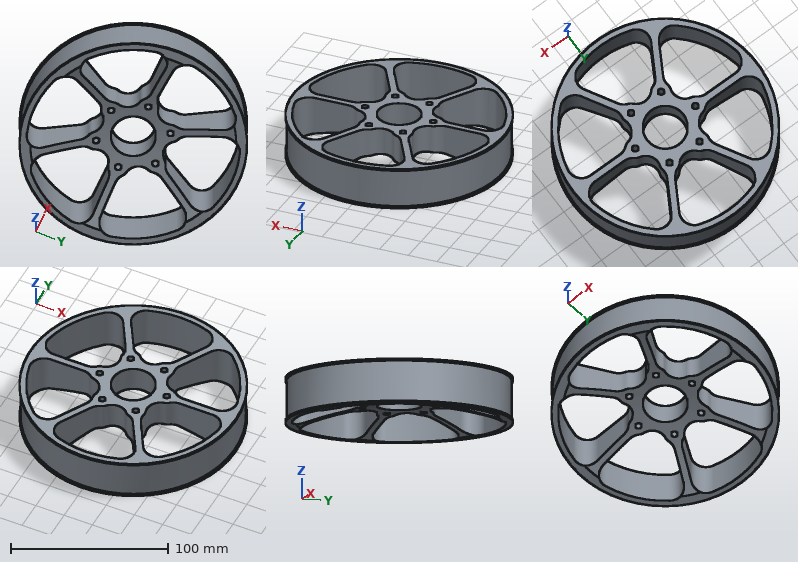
import cadquery as cq
import math

outer_diameter = 144.8
width = 28.5
flange_thickness = 1.3
flange_height = 0.8
rim_inner_radius = 68.0

dome_depth = 11.3
dome_radius = 195.5

bore_diameter = 28.5
bolt_circle_radius = 23.7
bolt_hole_diameter = 4.0
boss_radius = 6.4

spoke_count = 6
spoke_width = 5.0
fillet_radius = 9.5

spoke_pitch = 360.0 / spoke_count
half_pitch = math.radians(spoke_pitch / 2)


def point_toward(start, end, distance):
    """Point at the given distance from start, on the ray through end."""
    length = math.dist(start, end)
    return tuple(a + (b - a) * distance / length for a, b in zip(start, end))


def arc_middle(center, start, end, radius):
    """Middle of the shorter arc from start to end around center."""
    chord_middle = ((start[0] + end[0]) / 2, (start[1] + end[1]) / 2)
    return point_toward(center, chord_middle, radius)


def mirrored(point):
    """Reflect a point across the centerline of the window (the X axis)."""
    return (point[0], -point[1])


def from_spoke(along, toward_window):
    """Place a point given along and across the spoke on the +Y side of a window centered on +X."""
    x = along * math.cos(half_pitch) + toward_window * math.sin(half_pitch)
    y = along * math.sin(half_pitch) - toward_window * math.cos(half_pitch)
    return (x, y)


def window_outline():
    """Closed window outline, centered on +X between two spokes, with all arcs tangent."""
    axis = (0.0, 0.0)
    boss_center = from_spoke(bolt_circle_radius, 0)
    blend_distance = boss_radius + fillet_radius
    spoke_edge = spoke_width / 2
    fillet_offset = spoke_edge + fillet_radius

    valley_x = boss_center[0] + math.sqrt(blend_distance**2 - boss_center[1] ** 2)
    valley_center = (valley_x, 0.0)
    valley_bottom = (valley_x - fillet_radius, 0.0)
    valley_end = point_toward(valley_center, boss_center, fillet_radius)

    root_along = bolt_circle_radius + math.sqrt(blend_distance**2 - fillet_offset**2)
    root_center = from_spoke(root_along, fillet_offset)
    root_start = point_toward(root_center, boss_center, fillet_radius)
    root_end = from_spoke(root_along, spoke_edge)

    corner_along = math.sqrt((rim_inner_radius - fillet_radius) ** 2 - fillet_offset**2)
    corner_center = from_spoke(corner_along, fillet_offset)
    corner_start = from_spoke(corner_along, spoke_edge)
    corner_end = point_toward(axis, corner_center, rim_inner_radius)

    boss_middle = arc_middle(boss_center, valley_end, root_start, boss_radius)
    root_middle = arc_middle(root_center, root_start, root_end, fillet_radius)
    corner_middle = arc_middle(corner_center, corner_start, corner_end, fillet_radius)

    return (
        cq.Workplane("XY")
        .moveTo(*mirrored(valley_end))
        .threePointArc(valley_bottom, valley_end)
        .threePointArc(boss_middle, root_start)
        .threePointArc(root_middle, root_end)
        .lineTo(*corner_start)
        .threePointArc(corner_middle, corner_end)
        .threePointArc((rim_inner_radius, 0.0), mirrored(corner_end))
        .threePointArc(mirrored(corner_middle), mirrored(corner_start))
        .lineTo(*mirrored(root_end))
        .threePointArc(mirrored(root_middle), mirrored(root_start))
        .threePointArc(mirrored(boss_middle), mirrored(valley_end))
        .close()
    )


def rim_blank():
    """Solid tread cylinder with a thin flange at each end."""
    flange = cq.Workplane("XY").circle(outer_diameter / 2).extrude(flange_thickness)
    tread = cq.Workplane("XY").circle(outer_diameter / 2 - flange_height).extrude(width)
    top_flange = flange.translate((0, 0, width - flange_thickness))
    return tread.union(flange).union(top_flange)


def dome_cutter():
    """Sphere whose top rises above the bottom face by the dome depth."""
    return cq.Workplane("XY").sphere(dome_radius).translate((0, 0, dome_depth - dome_radius))


def hub_holes():
    """Central bore and one bolt hole in line with each spoke."""
    bore = cq.Workplane("XY").circle(bore_diameter / 2).extrude(width)
    bolt_holes = (
        cq.Workplane("XY")
        .polarArray(bolt_circle_radius, 0, 360, spoke_count)
        .circle(bolt_hole_diameter / 2)
        .extrude(width)
    )
    return bore.union(bolt_holes)


result = rim_blank().cut(hub_holes()).cut(dome_cutter())
window = window_outline().extrude(width)
for index in range(spoke_count):
    window_angle = (index + 0.5) * spoke_pitch
    result = result.cut(window.rotate((0, 0, 0), (0, 0, 1), window_angle))

result = result.translate((0, 0, -width / 2))